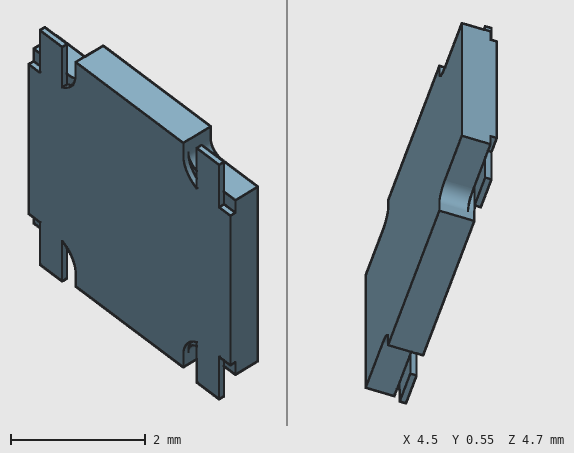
import cadquery as cq

body_side = 4.5
body_thickness = 0.55

notch_width = 1.05
notch_depth = 0.5
notch_radius = 0.25

recess_step = 0.25
recess_depth = notch_depth + recess_step
recess_radius = notch_radius + recess_step

terminal_width = 0.5
terminal_thickness = 0.1
terminal_inset = 0.25
terminal_overhang = 0.1
terminal_length = recess_depth + terminal_overhang

half_side = body_side / 2
front_y = -body_thickness / 2


def front_block(size_x, thickness, size_z, min_x, min_z):
    """Box whose -Y side lies on the front face of the body."""
    block = cq.Workplane("XY").box(size_x, thickness, size_z, centered=False)
    return block.translate((min_x, front_y, min_z))


def corner_cutter(depth_z, thickness, radius):
    """Cutter for the +X +Z corner, rounded at its inner edge."""
    cutter = front_block(notch_width, thickness, depth_z, half_side - notch_width, half_side - depth_z)
    return cutter.edges("|Y and <X and <Z").fillet(radius)


def corner_terminal():
    """Terminal at the +X +Z corner."""
    min_x = half_side - terminal_inset - terminal_width
    min_z = half_side - recess_depth
    return front_block(terminal_width, terminal_thickness, terminal_length, min_x, min_z)


def at_four_corners(shape):
    """The +X +Z corner shape together with its mirror images."""
    pair = shape.union(shape.mirror("YZ"))
    return pair.union(pair.mirror("XY"))


body = cq.Workplane("XY").box(body_side, body_thickness, body_side)
notches = at_four_corners(corner_cutter(notch_depth, body_thickness, notch_radius))
recesses = at_four_corners(corner_cutter(recess_depth, terminal_thickness, recess_radius))
terminals = at_four_corners(corner_terminal())

result = body.cut(notches).cut(recesses).union(terminals)